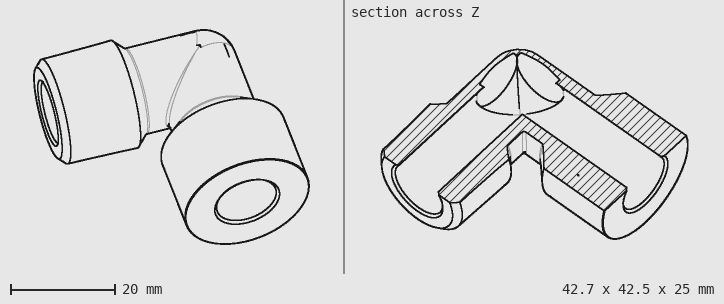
import cadquery as cq

body_radius = 8.5
outer_corner_fillet = 5.97
small_fillet = 0.5
filleted_height = 8.45
shoulder_start = 12.55

female_length = 32.0
female_radius = 12.5
female_rim_chamfer = 0.13

male_length = 30.0
male_radius = 10.65
male_end_chamfer = 1.32
male_tip_radius = 10.35

neck_start = shoulder_start - 2 * small_fillet

bore_radius = 6.0
bore_mouth_chamfer = 0.5
bore_overrun = 5.95
drill_tip_depth = 1.7


def revolve_about_x(points):
    """Revolve a closed (position, radius) outline about the X axis."""
    return cq.Workplane("XY").polyline(points).close().revolve(360, (0, 0, 0), (1, 0, 0))


def to_male_leg(solid):
    """Turn a shape from the +X direction to the -Y direction."""
    return solid.rotate((0, 0, 0), (0, 0, 1), -90)


def miter_wedge():
    """Half space on the female leg's side of the mitre plane y = -x."""
    reach = 2 * female_length
    outline = [(-reach, reach), (reach, -reach), (reach, reach)]
    return cq.Workplane("XY").workplane(offset=-reach).polyline(outline).close().extrude(2 * reach)


def round_miter(elbow):
    """Fillet the outer and inner mitre edges, which fade out at the top and bottom of the pipe."""
    side = 4 * female_length
    core = elbow.intersect(cq.Workplane("XY").box(side, side, 2 * filleted_height))
    thin_caps = elbow.cut(core)
    corner = 2 * body_radius
    for sign, radius in ((-1, outer_corner_fillet), (1, small_fillet)):
        half = cq.selectors.BoxSelector((0, 0, -corner), (sign * corner, -sign * corner, corner))
        core = core.edges("%ELLIPSE").edges(half).fillet(radius)
    return core.union(thin_caps)


def make_elbow():
    """Two equal pipes cut on the mitre plane, with the bend rounded."""
    pipe_end = cq.Workplane("XZ", origin=(0, 2 * body_radius, 0)).circle(body_radius)
    male_leg = pipe_end.extrude(2 * body_radius + shoulder_start)
    male_leg = male_leg.rotate((0, 0, 0), (0, 1, 0), 90)
    female_leg = male_leg.rotate((0, 0, 0), (0, 0, 1), 90).rotate((0, 0, 0), (1, 0, 0), 180)
    return round_miter(female_leg.intersect(miter_wedge()).union(male_leg.cut(miter_wedge())))


def soften_neck(end):
    """Fillet the inside corner between the pipe and the shoulder."""
    reach = body_radius + small_fillet
    margin = small_fillet / 2
    neck_edge = cq.selectors.BoxSelector(
        (shoulder_start - margin, -reach, -reach),
        (shoulder_start + margin, reach, reach),
        boundingbox=True,
    )
    return end.edges(neck_edge).fillet(small_fillet)


def make_female_end():
    """Shoulder and plain socket at the +X end."""
    shoulder_end = shoulder_start + female_radius - body_radius
    end = revolve_about_x([
        (neck_start, 0),
        (neck_start, body_radius),
        (shoulder_start, body_radius),
        (shoulder_end, female_radius),
        (female_length - female_rim_chamfer, female_radius),
        (female_length, female_radius - female_rim_chamfer),
        (female_length, 0),
    ])
    return soften_neck(end)


def make_male_end():
    """Shoulder and tapered spigot at the -Y end."""
    shoulder_end = shoulder_start + male_radius - body_radius
    taper_end = male_length - male_end_chamfer
    end = revolve_about_x([
        (neck_start, 0),
        (neck_start, body_radius),
        (shoulder_start, body_radius),
        (shoulder_end, male_radius),
        (taper_end, male_tip_radius),
        (male_length, male_tip_radius - male_end_chamfer),
        (male_length, 0),
    ])
    return to_male_leg(soften_neck(end))


def make_bore(length):
    """Drilled bore entering from +X and running past the corner to a conical tip."""
    mouth_radius = bore_radius + bore_mouth_chamfer
    return revolve_about_x([
        (-bore_overrun - drill_tip_depth, 0),
        (-bore_overrun, bore_radius),
        (length - bore_mouth_chamfer, bore_radius),
        (length, mouth_radius),
        (length, 0),
    ])


outside = make_elbow().union(make_female_end()).union(make_male_end())
female_bore = make_bore(female_length)
male_bore = to_male_leg(make_bore(male_length))
result = outside.cut(female_bore).cut(male_bore)